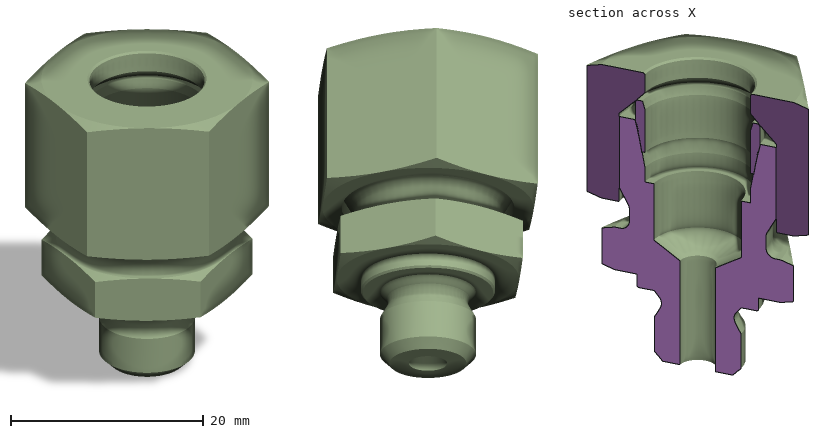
import cadquery as cq
import math


nut_across_flats = 22.0
body_across_flats = 19.0
hex_half_sector = math.radians(30)
hex_chamfer_angle = math.radians(15)

total_height = 33.0
nut_height = 15.5
nut_bottom = total_height - nut_height
stud_length = 8.0
collar_height = 1.52
body_hex_height = 4.98
body_hex_bottom = stud_length + collar_height
body_hex_top = body_hex_bottom + body_hex_height
body_top = 27.4
ring_top = 29.7
ring_bottom = 23.75

stud_radius = 10.0 / 2
stud_chamfer = 1.0
collar_radius = 14.0 / 2
collar_chamfer = 0.2
nut_thread_radius = 18.0 / 2

undercut_flank_angle = math.radians(30)
undercut_flank_bottom = 4.98
undercut_flank_top = 6.07
undercut_flank_top_radius = (
    stud_radius - (undercut_flank_top - undercut_flank_bottom) * math.tan(undercut_flank_angle)
)
undercut_waist_radius = 4.2
undercut_waist_z = 6.65
undercut_arc_top = 7.23
undercut_arc_top_radius = 4.32

neck_radius = 15.7 / 2
neck_fillet = 1.0
neck_flank_angle = math.radians(30)
neck_fillet_top = 17.35
neck_flank_bottom_radius = neck_radius + neck_fillet * (1 - math.cos(neck_flank_angle))
neck_straight_top = neck_fillet_top - neck_fillet * math.sin(neck_flank_angle)
neck_flank_top = neck_fillet_top + (
    (nut_thread_radius - neck_flank_bottom_radius) / math.tan(neck_flank_angle)
)

tube_radius = 12.0 / 2
tube_stop_z = 20.4
drill_radius = 10.0 / 2
drill_tip_angle = math.radians(118)
drill_bottom = 13.85
flow_radius = 4.0 / 2
drill_cone_bottom = drill_bottom - (drill_radius - flow_radius) / math.tan(drill_tip_angle / 2)

nut_lip_chamfer = 0.2
nut_lip_bottom = 30.7
nut_cone_bottom = nut_lip_bottom - (nut_thread_radius - tube_radius)

ring_radius = 14.3 / 2
seat_half_angle = math.radians(12)
seat_bottom = body_top - (ring_radius - tube_radius) / math.tan(seat_half_angle)
ring_bottom_radius = ring_radius - (body_top - ring_bottom) * math.tan(seat_half_angle)
ring_rim_z = nut_lip_bottom - (ring_radius - tube_radius)
ring_top_radius = tube_radius + (nut_lip_bottom - ring_top)
ring_entry_width = 0.3
ring_entry_depth = 1.0


def revolve(points):
    """Solid of revolution about Z from a closed (radius, z) outline."""
    return cq.Workplane("XZ").polyline(points).close().revolve(360, (0, 0), (0, 1))


def chamfered_hex(across_flats, bottom, top):
    """Hexagonal prism whose corners are turned down by a cone at both ends."""
    flat_radius = across_flats / 2
    corner_radius = flat_radius / math.cos(hex_half_sector)
    drop = (corner_radius - flat_radius) * math.tan(hex_chamfer_angle)
    prism = (
        cq.Workplane("XY", origin=(0, 0, bottom))
        .polygon(6, 2 * corner_radius)
        .extrude(top - bottom)
        .rotate((0, 0, 0), (0, 0, 1), math.degrees(hex_half_sector))
    )
    turned_blank = revolve([
        (0, bottom),
        (flat_radius, bottom),
        (corner_radius, bottom + drop),
        (corner_radius, top - drop),
        (flat_radius, top),
        (0, top),
    ])
    return prism.intersect(turned_blank)


def make_stud_and_collar():
    """Stud thread, its undercut and the sealing collar below the hexagon."""
    return (
        cq.Workplane("XZ")
        .moveTo(0, 0)
        .lineTo(stud_radius - stud_chamfer, 0)
        .lineTo(stud_radius, stud_chamfer)
        .lineTo(stud_radius, undercut_flank_bottom)
        .lineTo(undercut_flank_top_radius, undercut_flank_top)
        .threePointArc(
            (undercut_waist_radius, undercut_waist_z),
            (undercut_arc_top_radius, undercut_arc_top),
        )
        .lineTo(stud_radius, stud_length)
        .lineTo(collar_radius - collar_chamfer, stud_length)
        .lineTo(collar_radius, stud_length + collar_chamfer)
        .lineTo(collar_radius, body_hex_bottom)
        .lineTo(0, body_hex_bottom)
        .close()
        .revolve(360, (0, 0), (0, 1))
    )


def make_neck_and_thread():
    """Filleted neck above the hexagon, widening to the thread inside the nut."""
    arc_middle_angle = math.pi / 4
    fillet_axis_radius = neck_radius + neck_fillet
    lower_axis_z = body_hex_top + neck_fillet
    lower_middle = (
        fillet_axis_radius - neck_fillet * math.cos(arc_middle_angle),
        lower_axis_z - neck_fillet * math.sin(arc_middle_angle),
    )
    upper_middle = (
        fillet_axis_radius - neck_fillet * math.cos(neck_flank_angle / 2),
        neck_straight_top + neck_fillet * math.sin(neck_flank_angle / 2),
    )
    return (
        cq.Workplane("XZ")
        .moveTo(0, body_hex_top)
        .lineTo(fillet_axis_radius, body_hex_top)
        .threePointArc(lower_middle, (neck_radius, lower_axis_z))
        .lineTo(neck_radius, neck_straight_top)
        .threePointArc(upper_middle, (neck_flank_bottom_radius, neck_fillet_top))
        .lineTo(nut_thread_radius, neck_flank_top)
        .lineTo(nut_thread_radius, body_top)
        .lineTo(0, body_top)
        .close()
        .revolve(360, (0, 0), (0, 1))
    )


def make_stud_body():
    """Stud, hexagon and threaded neck, bored through with a tapered tube socket."""
    bore = revolve([
        (0, 0),
        (flow_radius, 0),
        (flow_radius, drill_cone_bottom),
        (drill_radius, drill_bottom),
        (drill_radius, tube_stop_z),
        (tube_radius, tube_stop_z),
        (tube_radius, seat_bottom),
        (ring_radius, body_top),
        (0, body_top),
    ])
    body_hex = chamfered_hex(body_across_flats, body_hex_bottom, body_hex_top)
    return make_stud_and_collar().union(body_hex).union(make_neck_and_thread()).cut(bore)


def make_cutting_ring():
    """Ring with a bevelled head above the body and a tapered skirt in the seat."""
    return revolve([
        (tube_radius, ring_bottom),
        (ring_bottom_radius, ring_bottom),
        (ring_radius, body_top),
        (ring_radius, ring_rim_z),
        (ring_top_radius, ring_top),
        (tube_radius + ring_entry_width, ring_top),
        (tube_radius, ring_top - ring_entry_depth),
    ])


def make_nut():
    """Hexagon nut whose inner cone bears on the bevelled rim of the cutting ring."""
    bore = revolve([
        (0, nut_bottom),
        (nut_thread_radius, nut_bottom),
        (nut_thread_radius, nut_cone_bottom),
        (tube_radius, nut_lip_bottom),
        (tube_radius, total_height - nut_lip_chamfer),
        (tube_radius + nut_lip_chamfer, total_height),
        (0, total_height),
    ])
    return chamfered_hex(nut_across_flats, nut_bottom, total_height).cut(bore)


stud_body = make_stud_body()
cutting_ring = make_cutting_ring()
nut = make_nut()

result = cq.Compound.makeCompound([stud_body.val(), cutting_ring.val(), nut.val()])